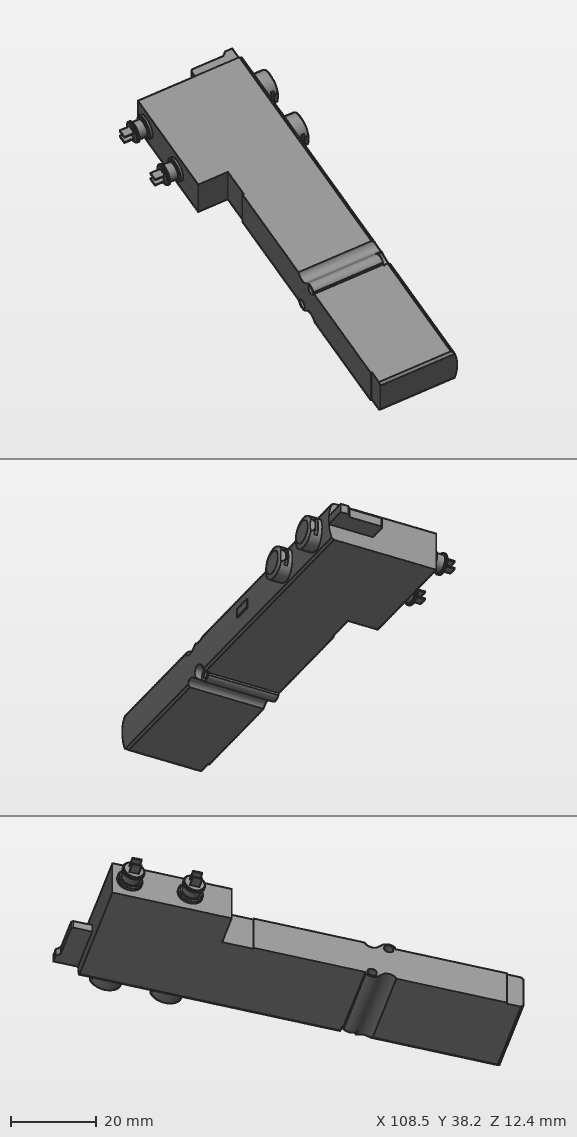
import cadquery as cq
import math


total_length = 108.5
tab_reach = 6.0
body_length = total_length - tab_reach
body_thickness = 10.1
body_depth = 28.5
half_thickness = body_thickness / 2
crown_rise = 0.8
edge_chamfer = 0.7
back_chamfer_height = 0.4
head_length = 29.1
rear_step = 7.9
pad_height = 0.3
pad_start = 36.7
pad_end = 98.4

tube_axis_x = 69.5
groove_axis_x = 65.5
ridge_height = 1.14
ridge_radius = 2.12
ridge_half_width = 1.68
hole_sink = 0.4
screw_hole_diameter = 2.3
throat_diameter = 1.6
throat_length = 2.2
screw_seat_diameter = 3.9
screw_seat_depth = 2.4
hole_axis_z = half_thickness - hole_sink

tab_thickness = 2.3
tab_depth = 11.7
tab_lip_depth = 2.0
tab_lip_reach = 1.0
tab_corner_chamfer = 0.4

first_knob_x = 7.4
station_spacing = 14.8
knob_top_y = 31.7
knob_diameter = 8.1
knob_chamfer_height = 0.4
knob_chamfer_width = 1.2
knob_slot_depth = 0.7
knob_slot_width = 0.8
knob_slot_offset = 1.4
knob_ramp_depth = 0.5
knob_ramp_shallow = 0.1

button_x = 42.7
button_length = 5.1
button_width = 2.3
button_height = 0.2

first_plug_x = 4.1
collar_diameter = 6.1
collar_length = 1.0
collar_chamfer = 0.3
neck_diameter = 4.5
flange_diameter = 5.3
flange_start = 3.3
flange_end = 3.9
flange_chamfer = 0.2
prong_length = 6.5
prong_width = 2.3
prong_thickness = 0.3
prong_spacing = 2.0

embed = 1.1


def block(x_min, x_max, y_min, y_max, z_min, z_max):
    size = (x_max - x_min, y_max - y_min, z_max - z_min)
    return cq.Workplane("XY").box(*size, centered=False).translate((x_min, y_min, z_min))


def cylinder(x, z, diameter, y_min, y_max):
    """Round bar parallel to Y."""
    bar = cq.Workplane("XZ", origin=(x, y_min, z)).circle(diameter / 2)
    return bar.extrude(-(y_max - y_min))


def turn_over(shape):
    """The same shape turned half a turn about the Y-parallel axis between tube and groove."""
    middle_x = (tube_axis_x + groove_axis_x) / 2
    return shape.rotate((middle_x, 0, 0), (middle_x, 1, 0), 180)


def make_blank():
    """Stepped housing with a crowned back and chamfered back and right edges."""
    shoulder_y = body_depth - crown_rise
    outline = (
        cq.Workplane("YZ")
        .moveTo(0, -half_thickness)
        .lineTo(shoulder_y - edge_chamfer, -half_thickness)
        .lineTo(shoulder_y, back_chamfer_height - half_thickness)
        .threePointArc((body_depth, 0), (shoulder_y, half_thickness - back_chamfer_height))
        .lineTo(shoulder_y - edge_chamfer, half_thickness)
        .lineTo(0, half_thickness)
        .close()
    )
    blank = outline.extrude(body_length)
    blank = blank.faces(">X").edges("|Y").chamfer(edge_chamfer)
    rear_notch = block(head_length, body_length, 0, rear_step, -half_thickness, half_thickness)
    pad = block(
        pad_start, pad_end,
        rear_step - pad_height, rear_step + embed,
        -half_thickness, half_thickness,
    )
    return blank.cut(rear_notch).union(pad)


def make_groove_and_ridge():
    """Groove cutter and screw tube ridge for the top side; equal arcs joined by a tangent flank."""
    center_offset = ridge_radius - ridge_height
    run = tube_axis_x - groove_axis_x
    drop = 2 * center_offset
    tangent_angle = math.atan2(drop, run) + math.acos(2 * ridge_radius / math.hypot(run, drop))
    crest_half_width = ridge_radius * math.cos(tangent_angle)
    crest_edge_height = ridge_radius * math.sin(tangent_angle) - center_offset
    groove_half_width = math.sqrt(ridge_radius**2 - center_offset**2)
    flank_low = (groove_axis_x + crest_half_width, half_thickness - crest_edge_height)
    flank_high = (tube_axis_x - crest_half_width, half_thickness + crest_edge_height)
    flank_foot = ((flank_low[0] + flank_high[0]) / 2, half_thickness)

    groove_edge = (groove_axis_x - groove_half_width, half_thickness)
    groove = (
        cq.Workplane("XZ")
        .moveTo(*groove_edge)
        .threePointArc((groove_axis_x, half_thickness - ridge_height), flank_low)
        .lineTo(*flank_foot)
        .close()
        .extrude(-body_depth)
    )

    front_y = rear_step - pad_height
    seat_y = body_depth - screw_seat_depth
    ridge_foot_x = tube_axis_x + ridge_half_width
    ridge = (
        cq.Workplane("XZ", origin=(0, front_y, 0))
        .moveTo(*flank_foot)
        .lineTo(*flank_high)
        .threePointArc(
            (tube_axis_x, half_thickness + ridge_height),
            (tube_axis_x + crest_half_width, half_thickness + crest_edge_height),
        )
        .lineTo(ridge_foot_x, half_thickness)
        .lineTo(ridge_foot_x, half_thickness - embed)
        .lineTo(tube_axis_x, half_thickness - embed)
        .close()
        .extrude(front_y - seat_y)
    )
    return groove, ridge


def make_screw_bore():
    """Long clearance hole, narrower throat and round screw seat, in line."""
    seat_y = body_depth - screw_seat_depth
    throat_y = seat_y - throat_length
    hole = cylinder(tube_axis_x, hole_axis_z, screw_hole_diameter, 0, throat_y)
    throat = cylinder(tube_axis_x, hole_axis_z, throat_diameter, throat_y, seat_y)
    seat = cylinder(tube_axis_x, hole_axis_z, screw_seat_diameter, seat_y, body_depth)
    return hole.union(throat).union(seat)


def add_screw_tubes(body):
    groove, ridge = make_groove_and_ridge()
    bore = make_screw_bore()
    body = body.cut(groove).cut(turn_over(groove))
    body = body.union(ridge).union(turn_over(ridge))
    return body.cut(bore).cut(turn_over(bore))


def make_tab():
    """Latch tab with a sloped lip; its back end sits level with the crown."""
    stem_x = tab_lip_reach - tab_reach
    lip_y = body_depth - tab_lip_depth
    tab_front_y = body_depth - tab_depth
    return (
        cq.Workplane("XY", origin=(0, 0, -tab_thickness / 2))
        .moveTo(0, body_depth)
        .lineTo(-tab_reach, body_depth)
        .lineTo(-tab_reach, lip_y)
        .lineTo(stem_x, lip_y - tab_lip_reach)
        .lineTo(stem_x, tab_front_y + tab_corner_chamfer)
        .lineTo(stem_x + tab_corner_chamfer, tab_front_y)
        .lineTo(embed, tab_front_y)
        .lineTo(embed, body_depth - embed)
        .lineTo(0, body_depth - embed)
        .close()
        .extrude(tab_thickness)
    )


def make_knob(x):
    """Chamfered round knob with a ramp and a flat-bottomed slot below it on each side."""
    radius = knob_diameter / 2
    slot_top_y = knob_top_y - knob_slot_offset
    slot_bottom_y = slot_top_y - knob_slot_width
    knob = cylinder(x, 0, knob_diameter, body_depth - crown_rise - edge_chamfer, knob_top_y)
    knob = knob.faces(">Y").chamfer(knob_chamfer_height, knob_chamfer_width)
    for side in (-1, 1):
        rim_x = x + side * radius
        slot = (
            cq.Workplane("XY", origin=(0, 0, -radius))
            .moveTo(rim_x, knob_top_y)
            .lineTo(rim_x - side * knob_ramp_depth, knob_top_y)
            .lineTo(rim_x - side * knob_ramp_shallow, slot_top_y)
            .lineTo(rim_x - side * knob_slot_depth, slot_top_y)
            .lineTo(rim_x - side * knob_slot_depth, slot_bottom_y)
            .lineTo(rim_x, slot_bottom_y)
            .close()
            .extrude(knob_diameter)
        )
        knob = knob.cut(slot)
    return knob


def make_button():
    """Low rectangular pad on the crest of the crown."""
    half_length = button_length / 2
    half_width = button_width / 2
    return block(
        button_x - half_length, button_x + half_length,
        body_depth - embed, body_depth + button_height,
        -half_width, half_width,
    )


def make_plug(x):
    """Collar, neck and flange in line, ending in two flat prongs."""
    collar = cylinder(x, 0, collar_diameter, -collar_length, 0).faces("<Y").chamfer(collar_chamfer)
    neck = cylinder(x, 0, neck_diameter, -flange_end, embed)
    flange = cylinder(x, 0, flange_diameter, -flange_end, -flange_start)
    flange = flange.faces("<Y").chamfer(flange_chamfer)
    plug = neck.union(collar).union(flange)
    for z in (-prong_spacing / 2, prong_spacing / 2):
        prong = block(
            x - prong_width / 2, x + prong_width / 2,
            -prong_length, -flange_start,
            z - prong_thickness / 2, z + prong_thickness / 2,
        )
        plug = plug.union(prong)
    return plug


result = add_screw_tubes(make_blank())
result = result.union(make_tab())
for station in range(2):
    station_x = station * station_spacing
    result = result.union(make_knob(first_knob_x + station_x))
    result = result.union(make_plug(first_plug_x + station_x))
result = result.union(make_button())